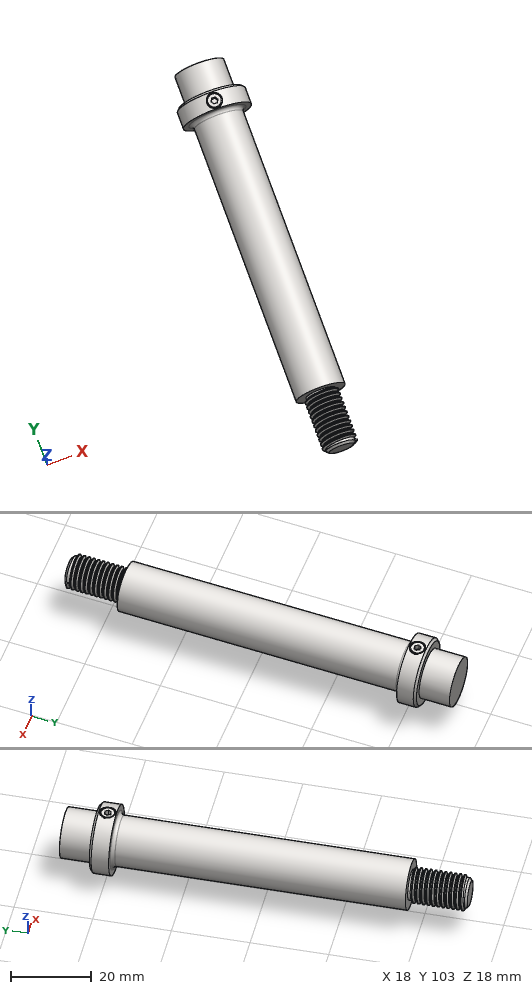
import cadquery as cq
import math

TOTAL_LENGTH = 103.0
REAR_END_Y = TOTAL_LENGTH / 2
TIP_Y = -TOTAL_LENGTH / 2
REAR_STUB_LENGTH = 8.0
FLANGE_WIDTH = 5.0
STUD_LENGTH = 15.0

SHAFT_RADIUS = 6.5
FLANGE_RADIUS = 9.01
FLANGE_CHAMFER = 0.6
FLANGE_FILLET = 1.0

FLANGE_REAR_Y = REAR_END_Y - REAR_STUB_LENGTH
FLANGE_FRONT_Y = FLANGE_REAR_Y - FLANGE_WIDTH
SHOULDER_Y = TIP_Y + STUD_LENGTH

CORE_RADIUS = 3.9
TIP_CHAMFER = 0.6
THREAD_CREST_RADIUS = 4.5
THREAD_PITCH = 1.25
RIDGE_BASE_WIDTH = 1.1
RIDGE_CREST_WIDTH = 0.2
RIDGE_ROOT_OVERLAP = 0.1
THREAD_START = 0.77
THREAD_TURNS = 11.1

SCREW_RADIUS = 2.01
SCREW_LENGTH = 4.0
SCREW_CHAMFER = 0.3
SCREW_RECESS = 0.2
SOCKET_ACROSS_FLATS = 1.5
SOCKET_DEPTH = 1.5

SCREW_Y = (FLANGE_FRONT_Y + FLANGE_REAR_Y - FLANGE_CHAMFER) / 2
SCREW_TOP_Z = FLANGE_RADIUS - SCREW_RECESS
SCREW_BOTTOM_Z = SCREW_TOP_Z - SCREW_LENGTH
SOCKET_ACROSS_CORNERS = SOCKET_ACROSS_FLATS / math.cos(math.pi / 6)


def make_turned_blank():
    """Shaft, flange and stud core as one half-profile revolved about Y."""
    fillet_outer_radius = SHAFT_RADIUS + FLANGE_FILLET
    return (
        cq.Workplane("YZ")
        .moveTo(REAR_END_Y, 0)
        .lineTo(REAR_END_Y, SHAFT_RADIUS)
        .lineTo(FLANGE_REAR_Y, SHAFT_RADIUS)
        .lineTo(FLANGE_REAR_Y, FLANGE_RADIUS - FLANGE_CHAMFER)
        .lineTo(FLANGE_REAR_Y - FLANGE_CHAMFER, FLANGE_RADIUS)
        .lineTo(FLANGE_FRONT_Y, FLANGE_RADIUS)
        .lineTo(FLANGE_FRONT_Y, fillet_outer_radius)
        .radiusArc((FLANGE_FRONT_Y - FLANGE_FILLET, SHAFT_RADIUS), FLANGE_FILLET)
        .lineTo(SHOULDER_Y, SHAFT_RADIUS)
        .lineTo(SHOULDER_Y, CORE_RADIUS)
        .lineTo(TIP_Y + TIP_CHAMFER, CORE_RADIUS)
        .lineTo(TIP_Y, CORE_RADIUS - TIP_CHAMFER)
        .lineTo(TIP_Y, 0)
        .close()
        .revolve(360, (0, 0, 0), (1, 0, 0))
    )


def make_thread_ridge():
    """Flat-topped V ridge swept along a helix, starting on the +X side near the tip."""
    root_radius = CORE_RADIUS - RIDGE_ROOT_OVERLAP
    helix_height = THREAD_TURNS * THREAD_PITCH
    helix = cq.Wire.makeHelix(THREAD_PITCH, helix_height, root_radius)
    ridge = (
        cq.Workplane("XZ")
        .polyline([
            (root_radius, -RIDGE_BASE_WIDTH / 2),
            (THREAD_CREST_RADIUS, -RIDGE_CREST_WIDTH / 2),
            (THREAD_CREST_RADIUS, RIDGE_CREST_WIDTH / 2),
            (root_radius, RIDGE_BASE_WIDTH / 2),
        ])
        .close()
        .sweep(cq.Workplane(obj=helix), isFrenet=True)
    )
    return ridge.rotate((0, 0, 0), (1, 0, 0), -90).translate((0, TIP_Y + THREAD_START, 0))


def make_screw_hole():
    """Flat-bottomed radial hole that the set screw stands in."""
    return (
        cq.Workplane("XY", origin=(0, SCREW_Y, SCREW_BOTTOM_Z))
        .circle(SCREW_RADIUS)
        .extrude(FLANGE_RADIUS - SCREW_BOTTOM_Z)
    )


def make_spindle():
    return make_turned_blank().union(make_thread_ridge()).cut(make_screw_hole())


def make_set_screw():
    """Headless screw with a chamfered top edge and a hexagon socket."""
    return (
        cq.Workplane("XY", origin=(0, SCREW_Y, SCREW_BOTTOM_Z))
        .circle(SCREW_RADIUS)
        .extrude(SCREW_LENGTH)
        .faces(">Z")
        .chamfer(SCREW_CHAMFER)
        .faces(">Z")
        .workplane()
        .polygon(6, SOCKET_ACROSS_CORNERS)
        .cutBlind(-SOCKET_DEPTH)
    )


spindle = make_spindle()
set_screw = make_set_screw()
result = cq.Compound.makeCompound([spindle.val(), set_screw.val()])